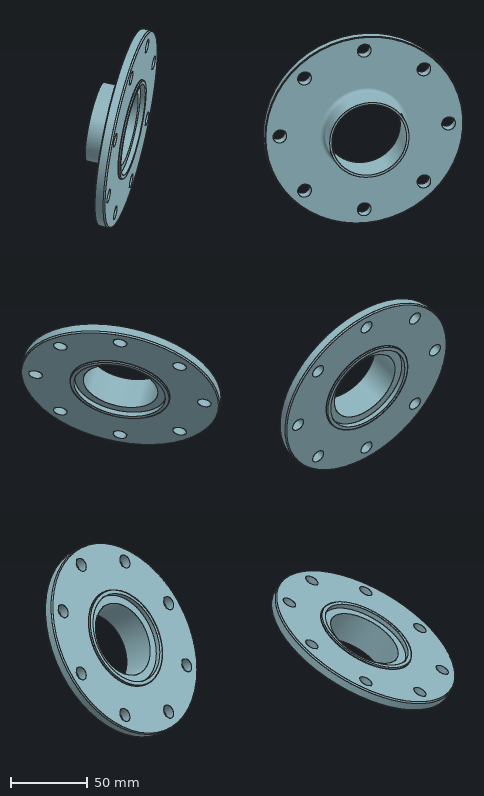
import cadquery as cq

flange_diameter = 133.0
flange_thickness = 7.2
front_chamfer = 0.5
back_chamfer_length = 1.2
back_chamfer_depth = 0.5

neck_length = 17.0
neck_diameter = 53.2
bore_diameter = 50.0
neck_fillet = 3.0
recess_diameter = 61.2
recess_depth = 3.3

raised_face_diameter = 67.0
raised_face_height = 1.3
raised_face_chamfer_length = 0.9
raised_face_chamfer_depth = 0.4

bolt_circle_diameter = 113.0
bolt_hole_diameter = 9.0
bolt_count = 8

flange_back = neck_length + flange_thickness
total_length = flange_back + raised_face_height


def disc(start, length, diameter):
    """Solid cylinder along X starting at the given position."""
    return cq.Workplane("YZ", origin=(start, 0, 0)).circle(diameter / 2).extrude(length)


def make_flange():
    """Flange plate with a bevelled rim on both faces."""
    radius = flange_diameter / 2
    profile = (
        cq.Workplane("XY")
        .moveTo(neck_length, 0)
        .lineTo(neck_length, radius - front_chamfer)
        .lineTo(neck_length + front_chamfer, radius)
        .lineTo(flange_back - back_chamfer_length, radius)
        .lineTo(flange_back, radius - back_chamfer_depth)
        .lineTo(flange_back, 0)
        .close()
    )
    return profile.revolve(360, (0, 0, 0), (1, 0, 0))


def make_neck():
    """Neck with a concave fillet flaring out to the flange."""
    radius = neck_diameter / 2
    profile = (
        cq.Workplane("XY")
        .lineTo(0, radius)
        .lineTo(neck_length - neck_fillet, radius)
        .radiusArc((neck_length, radius + neck_fillet), -neck_fillet)
        .lineTo(neck_length, 0)
        .close()
    )
    return profile.revolve(360, (0, 0, 0), (1, 0, 0))


def make_raised_face():
    """Sealing face standing proud of the flange, with a bevelled rim."""
    radius = raised_face_diameter / 2
    profile = (
        cq.Workplane("XY")
        .moveTo(flange_back, 0)
        .lineTo(flange_back, radius)
        .lineTo(total_length - raised_face_chamfer_length, radius)
        .lineTo(total_length, radius - raised_face_chamfer_depth)
        .lineTo(total_length, 0)
        .close()
    )
    return profile.revolve(360, (0, 0, 0), (1, 0, 0))


def make_bolt_holes():
    """Ring of through-hole cutters, the first one on the Y axis."""
    return (
        cq.Workplane("YZ", origin=(neck_length, 0, 0))
        .polarArray(bolt_circle_diameter / 2, 0, 360, bolt_count)
        .circle(bolt_hole_diameter / 2)
        .extrude(flange_thickness)
    )


def make_bore():
    """Through bore that opens into a shallow recess in the raised face."""
    bore = disc(0, total_length, bore_diameter)
    recess = disc(total_length - recess_depth, recess_depth, recess_diameter)
    return bore.union(recess)


body = make_flange().union(make_neck()).union(make_raised_face())
result = body.cut(make_bore()).cut(make_bolt_holes())